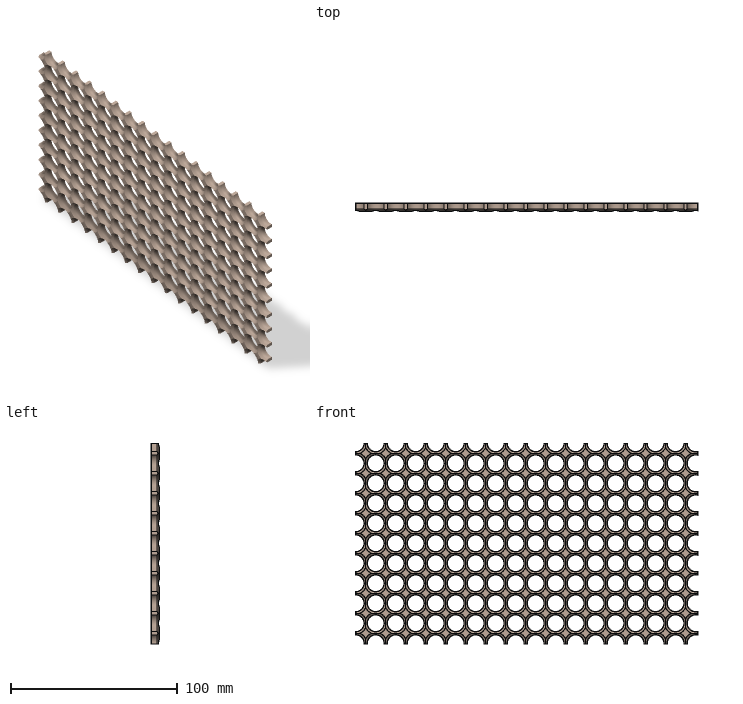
import cadquery as cq

length = 205.4
height = 120.5
sink_depth = 1.5
straight_depth = 3.5
thickness = sink_depth + straight_depth

columns = 17
rows = 10
right_overhang = 1.33
strut_width = 2.0
pitch = (length - right_overhang) / columns

hole_radius = (pitch - strut_width) / 2
sink_radius = hole_radius + sink_depth


def make_slab():
    """Plain slab with its top left front corner at the origin and its thickness along +Y."""
    slab = cq.Workplane("XY").box(length, thickness, height, centered=False)
    return slab.translate((0, 0, -height))


def make_hole_cutter():
    """Solid of a through hole with a conical countersink, revolved about the Y axis."""
    return (
        cq.Workplane("XY")
        .lineTo(sink_radius, 0)
        .lineTo(hole_radius, sink_depth)
        .lineTo(hole_radius, thickness)
        .lineTo(0, thickness)
        .close()
        .revolve(360, (0, 0, 0), (0, 1, 0))
        .val()
    )


def make_cutter_set(parity):
    """Every other hole, as on one colour of a chessboard, so the cutters in a set never touch.

    The grid starts at the top left corner, and the slab edges cut the outermost holes open.
    """
    hole_cutter = make_hole_cutter()
    cutters = []
    for column in range(columns + 1):
        for row in range(rows + 1):
            if (column + row) % 2 == parity:
                center = cq.Vector(column * pitch, 0, -row * pitch)
                cutters.append(hole_cutter.translate(center))
    return cq.Workplane(cq.Compound.makeCompound(cutters))


panel = make_slab()
for parity in (0, 1):
    panel = panel.cut(make_cutter_set(parity))

result = panel.translate((-length / 2, -thickness / 2, height / 2)).solids()